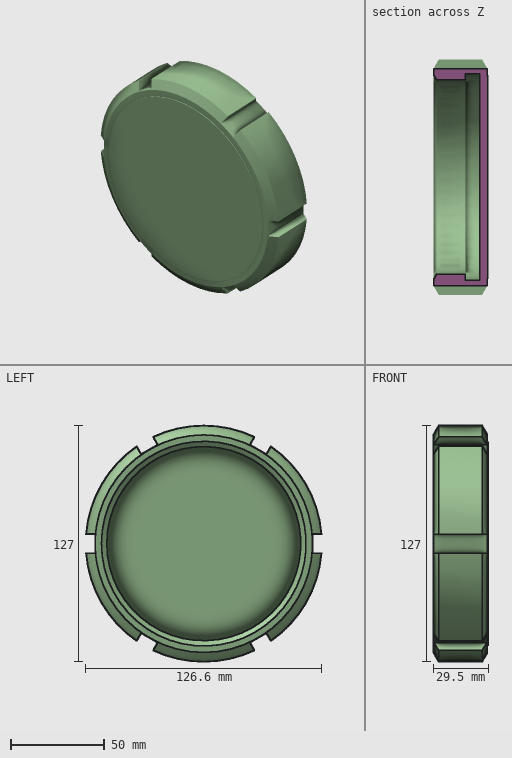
import cadquery as cq
import math

outer_radius = 63.5
ring_length = 29.1
boss_radius = 54.6
boss_height = 0.4

chamfer_length = 2.9
chamfer_angle = 60.0
face_radius = outer_radius - chamfer_length * math.tan(math.radians(chamfer_angle))

bore_radius = 104.3 / 2
mouth_radius = 55.0
mouth_depth = 1.7
undercut_radius = 110.7 / 2
undercut_start = 17.3
bore_depth = 24.9

slot_count = 6
slot_width = 10.2
slot_floor = 58.4
cutter_overhang = 1.3


def ring_body():
    """Revolve the blank, including its chamfers, rear boss and undercut blind bore."""
    total_length = ring_length + boss_height
    profile = (
        cq.Workplane("XY")
        .moveTo(0, mouth_radius)
        .lineTo(0, face_radius)
        .lineTo(chamfer_length, outer_radius)
        .lineTo(ring_length - chamfer_length, outer_radius)
        .lineTo(ring_length, face_radius)
        .lineTo(ring_length, boss_radius)
        .lineTo(total_length, boss_radius)
        .lineTo(total_length, 0)
        .lineTo(bore_depth, 0)
        .lineTo(bore_depth, undercut_radius)
        .lineTo(undercut_start, undercut_radius)
        .lineTo(undercut_start, bore_radius)
        .lineTo(mouth_depth, bore_radius)
        .close()
    )
    return profile.revolve(360, (0, 0, 0), (1, 0, 0))


def spanner_slots():
    """Flat-floored cutters spaced evenly around the rim, the first on +Y."""
    cutter_height = outer_radius - slot_floor + cutter_overhang
    cutter = (
        cq.Workplane("XY")
        .box(ring_length, cutter_height, slot_width, centered=(False, False, True))
        .translate((0, slot_floor, 0))
    )
    slots = cq.Workplane("XY")
    for index in range(slot_count):
        slots = slots.add(cutter.rotate((0, 0, 0), (1, 0, 0), index * 360 / slot_count))
    return slots.combine()


result = ring_body().cut(spanner_slots())